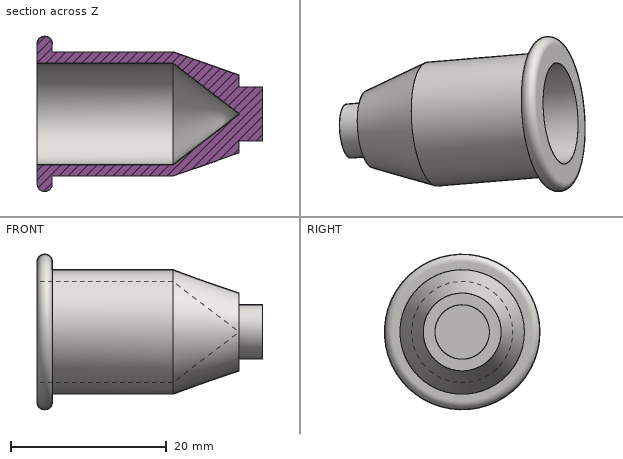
import cadquery as cq

flange_diameter = 20.0
flange_thickness = 2.0
rim_radius = flange_thickness / 2
body_diameter = 16.0
body_end = 17.5
taper_end_diameter = 10.0
taper_end = 26.0
pin_diameter = 7.0
pin_length = 3.0
overall_length = taper_end + pin_length

bore_diameter = 13.0
bore_depth = body_end
bore_tip_end = taper_end


def outer_body():
    """Solid of revolution: rounded flange, cylinder, taper and end pin."""
    flange_radius = flange_diameter / 2
    rim_start_radius = flange_radius - rim_radius
    profile = (
        cq.Workplane("XY")
        .moveTo(0, 0)
        .lineTo(0, rim_start_radius)
        .threePointArc((flange_thickness / 2, flange_radius), (flange_thickness, rim_start_radius))
        .lineTo(flange_thickness, body_diameter / 2)
        .lineTo(body_end, body_diameter / 2)
        .lineTo(taper_end, taper_end_diameter / 2)
        .lineTo(taper_end, pin_diameter / 2)
        .lineTo(overall_length, pin_diameter / 2)
        .lineTo(overall_length, 0)
        .close()
    )
    return profile.revolve(360, (0, 0, 0), (1, 0, 0))


def bore():
    """Cutting solid for the blind bore with its conical bottom."""
    profile = (
        cq.Workplane("XY")
        .moveTo(0, 0)
        .lineTo(0, bore_diameter / 2)
        .lineTo(bore_depth, bore_diameter / 2)
        .lineTo(bore_tip_end, 0)
        .close()
    )
    return profile.revolve(360, (0, 0, 0), (1, 0, 0))


result = outer_body().cut(bore())